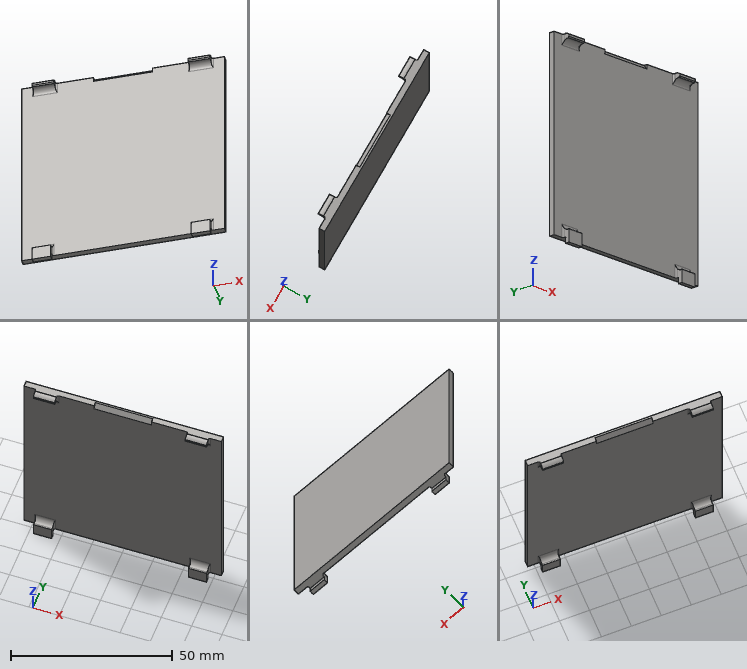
import cadquery as cq

plate_width = 65.0
plate_thickness = 2.0
plate_bottom = 2.0
plate_top = 69.0
plate_height = plate_top - plate_bottom

hook_inset = 4.0
root_radius = 2.0
flare_radius = 0.5

snap_width = 7.0
snap_reach = 4.6
snap_underside = 67.35
snap_crown_start = 2.8
snap_crown_top = 69.15
snap_nose_top = 68.5
snap_nose_radius = 0.35

tab_width = 5.95
tab_back_reach = 3.0
tab_reach = 4.5
tab_top = 4.4

notch_width = 18.9
notch_height = 1.5
notch_depth = 1.3

total_depth = snap_reach


def at(reach, height):
    """Point in the YZ plane at a given reach from the plate's back."""
    return (total_depth - reach, height)


def root_arc_middle(height, direction):
    """Middle of the quarter-round root that ends on a flat at the given height."""
    offset = root_radius * (1 - 0.5 ** 0.5)
    return at(plate_thickness + offset, height + direction * offset)


def make_plate():
    return cq.Workplane("XY").box(
        plate_width, plate_thickness, plate_height, centered=(True, False, False)
    ).translate((0, total_depth - plate_thickness, plate_bottom))


def cut_bevel_notch(plate):
    front_edge = at(plate_thickness, plate_top)
    wedge = (
        cq.Workplane("YZ")
        .moveTo(*front_edge)
        .lineTo(*at(plate_thickness - notch_depth, plate_top))
        .lineTo(*at(plate_thickness, plate_top - notch_height))
        .close()
        .extrude(notch_width / 2, both=True)
    )
    return plate.cut(wedge)


def snap_profile():
    """Side profile of an upper hook: crowned top, blunt nose, concave underside."""
    crown_run = snap_reach - snap_crown_start
    crown_drop = snap_crown_top - snap_nose_top
    crown_radius = (crown_run**2 + crown_drop**2) / (2 * crown_drop)
    return (
        cq.Workplane("YZ")
        .moveTo(*at(0, plate_top))
        .lineTo(*at(snap_crown_start, plate_top))
        .lineTo(*at(snap_crown_start, snap_crown_top))
        .radiusArc(at(snap_reach, snap_nose_top), -crown_radius)
        .lineTo(*at(snap_reach, snap_underside + snap_nose_radius))
        .radiusArc(at(snap_reach - snap_nose_radius, snap_underside), snap_nose_radius)
        .lineTo(*at(plate_thickness + root_radius, snap_underside))
        .threePointArc(
            root_arc_middle(snap_underside, -1),
            at(plate_thickness, snap_underside - root_radius),
        )
        .lineTo(*at(0, snap_underside - root_radius))
        .close()
    )


def tab_profile():
    """Side profile of a lower tab: concave top and a tongue hanging below the plate."""
    return (
        cq.Workplane("YZ")
        .moveTo(*at(0, plate_bottom))
        .lineTo(*at(tab_back_reach, plate_bottom))
        .lineTo(*at(tab_back_reach, 0))
        .lineTo(*at(tab_reach, 0))
        .lineTo(*at(tab_reach, tab_top))
        .lineTo(*at(plate_thickness + root_radius, tab_top))
        .threePointArc(
            root_arc_middle(tab_top, 1),
            at(plate_thickness, tab_top + root_radius),
        )
        .lineTo(*at(0, tab_top + root_radius))
        .close()
    )


def make_hook(profile, width):
    """Hook centred on X = 0: its side profile limited by a plan that flares at the plate."""
    half = width / 2
    flared_half = half + flare_radius
    plate_front = total_depth - plate_thickness
    flare_end = plate_front - flare_radius
    flare_middle = flare_radius * (1 - 0.5 ** 0.5)
    plan = (
        cq.Workplane("XY")
        .moveTo(-flared_half, total_depth)
        .lineTo(-flared_half, plate_front)
        .threePointArc((-half - flare_middle, plate_front - flare_middle), (-half, flare_end))
        .lineTo(-half, 0)
        .lineTo(half, 0)
        .lineTo(half, flare_end)
        .threePointArc((half + flare_middle, plate_front - flare_middle), (flared_half, plate_front))
        .lineTo(flared_half, total_depth)
        .close()
        .extrude(snap_crown_top + 0.7)
    )
    return profile.extrude(flared_half, both=True).intersect(plan)


result = cut_bevel_notch(make_plate())
for profile, width in ((snap_profile(), snap_width), (tab_profile(), tab_width)):
    hook = make_hook(profile, width)
    hook_x = plate_width / 2 - hook_inset - width / 2
    for side in (-1, 1):
        result = result.union(hook.translate((side * hook_x, 0, 0)))
result = result.clean()